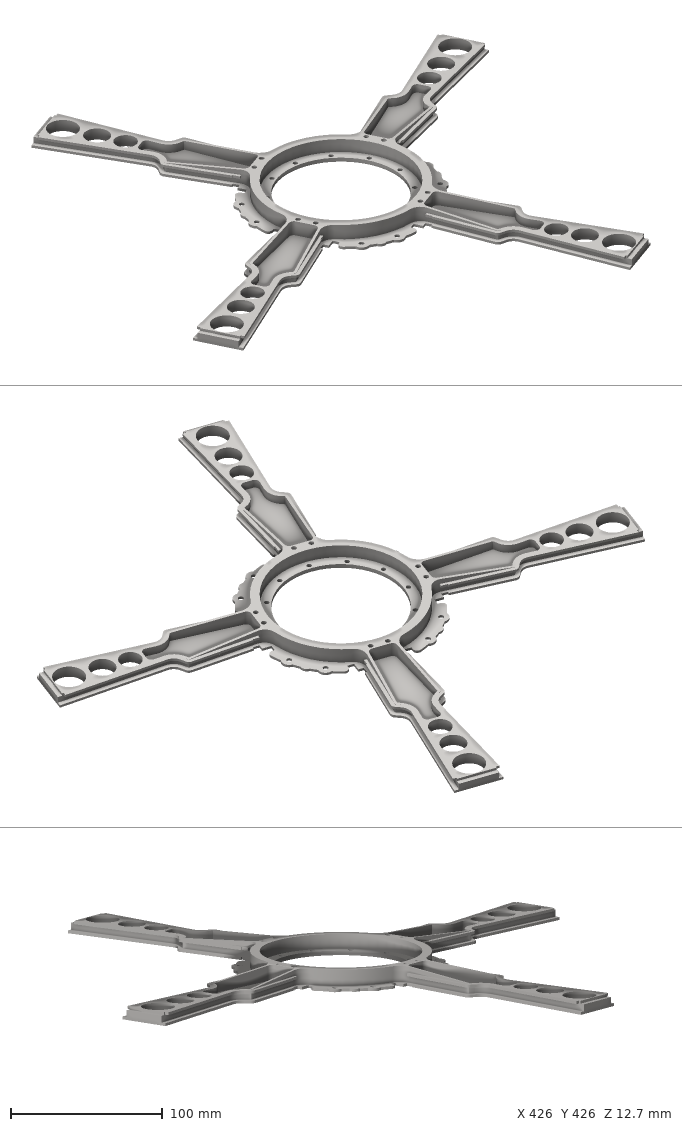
import cadquery as cq
import math

total_height = 12.7
arm_height = 8.4
plate_thickness = 1.9
ledge_thickness = 3.0
pocket_floor = 2.0

bore_radius = 46.0
ring_inner_radius = 53.6
ring_outer_radius = 60.0
ring_fillet = 9.6
rim_radius = 69.9
ledge_hole_count = 12
ledge_hole_circle = 49.1
ledge_hole_diameter = 3.6
ring_hole_offset = 6.3
ring_hole_reach = 59.1
screw_hole_diameter = 3.8

ear_radius = 5.5
middle_ear_radius = 4.6
ear_circle = 66.7
ear_angle = 11.0
notch_inner = 18.5
notch_outer = 23.4
notch_floor = 59.3
notch_corner = 3.3
tab_reach = 66.1
bridge_half_width = 14.5

arm_reach = 213.0
arm_start = 71.0
tip_half_width = 17.9
neck_half_width = 10.65
neck_reach = 126.5
shoulder_half_width = 20.2
shoulder_reach = 120.3
root_half_width = 15.9
neck_fillet = 8.0
shoulder_fillet = 4.0
web_inset = 3.25
pocket_inset = 5.2
pocket_start = 62.2
pocket_end = 143.0
pocket_corner = 3.5
tip_step = 3.2
flange_step = 4.4
flange_inset = 0.6
rib_start = 61.5
rib_end = 121.0
arm_holes = [(153.3, 8.1), (173.6, 9.2), (197.9, 11.2)]

arm_angles = [0, 90, 180, 270]
outline_start = 30.0
oversize = 2 * arm_reach


def line_at(reach, inner, outer):
    """Half width at a reach on the straight line through two (reach, half width) points."""
    slope = (outer[1] - inner[1]) / (outer[0] - inner[0])
    return inner[1] + slope * (reach - inner[0])


def polar_point(radius, angle):
    """Point at a radius and an angle in degrees."""
    turn = math.radians(angle)
    return radius * math.cos(turn), radius * math.sin(turn)


def cylinders(points, radius, height):
    """Upright cylinders standing on the base at the given points."""
    return cq.Workplane("XY").pushPoints(points).circle(radius).extrude(height)


def on_each_arm(solid):
    """The solid, modelled on the +X arm, repeated on all four arms."""
    copies = cq.Workplane("XY")
    for angle in arm_angles:
        copies = copies.union(solid.rotate((0, 0, 0), (0, 0, 1), angle))
    return copies


def slab(start, end, half_width, bottom, top):
    """A box centred on the +X arm."""
    return (
        cq.Workplane("XY", origin=((start + end) / 2, 0, bottom))
        .box(end - start, 2 * half_width, top - bottom, centered=(True, True, False))
    )


def arm_body(inset, height):
    """The +X arm outline drawn in by an inset, from inside the hub to past the tip."""
    end = arm_reach + 2 * web_inset + pocket_inset
    neck = (neck_reach, neck_half_width)
    shoulder = (shoulder_reach, shoulder_half_width)
    start_half_width = line_at(outline_start, (arm_start, root_half_width), shoulder)
    end_half_width = line_at(end, neck, (arm_reach, tip_half_width))
    side = [(outline_start, start_half_width), shoulder, neck, (end, end_half_width)]
    mirrored = [(x, -y) for x, y in reversed(side)]
    body = cq.Workplane("XY").polyline(side + mirrored).close().extrude(height)
    for corner, radius in ((neck, neck_fillet), (shoulder, shoulder_fillet)):
        for y in (corner[1], -corner[1]):
            edge = cq.selectors.NearestToPointSelector((corner[0], y, height / 2))
            body = body.edges("|Z").edges(edge).fillet(radius)
    if inset:
        body = body.faces("<Z").wires().toPending().offset2D(-inset).extrude(height, combine=False)
    return body


def make_rim():
    """Base plate of the hub: a disc with ears, notched beside each arm."""
    rim = cq.Workplane("XY").circle(rim_radius).extrude(plate_thickness)
    for diagonal in (45, 135, 225, 315):
        middle = [polar_point(ear_circle, diagonal)]
        rim = rim.union(cylinders(middle, middle_ear_radius, plate_thickness))
    screw_points = [
        polar_point(ear_circle, diagonal + offset)
        for diagonal in (45, 135, 225, 315)
        for offset in (-ear_angle, ear_angle)
    ]
    rim = rim.union(cylinders(screw_points, ear_radius, plate_thickness))
    opening = slab(notch_floor, oversize, notch_outer, 0, plate_thickness)
    rim = rim.cut(on_each_arm(opening))
    notch_turn = math.degrees(math.asin(notch_outer / rim_radius))
    for angle in arm_angles:
        for turn in (-notch_turn, notch_turn):
            x, y = polar_point(rim_radius, angle + turn)
            corner = cq.selectors.NearestToPointSelector((x, y, plate_thickness / 2))
            rim = rim.edges("|Z").edges(corner).fillet(notch_corner)
    tab = slab(ring_inner_radius, tab_reach, notch_inner, 0, plate_thickness)
    bridge = slab(ring_inner_radius, arm_start, bridge_half_width, 0, plate_thickness)
    rim = rim.union(on_each_arm(tab.union(bridge)))
    return rim.cut(cylinders(screw_points, screw_hole_diameter / 2, plate_thickness))


def make_core():
    """Ring wall and arm webs, joined by fillets, with ribs that slope down to the arm top."""
    web = arm_body(web_inset, total_height).intersect(slab(0, arm_reach, arm_reach, 0, total_height))
    core = cq.Workplane("XY").circle(ring_outer_radius).extrude(total_height).union(on_each_arm(web))
    junction = cq.selectors.BoxSelector(
        (-ring_outer_radius, -ring_outer_radius, 0),
        (ring_outer_radius, ring_outer_radius, total_height),
    )
    core = core.edges("|Z").edges(junction).fillet(ring_fillet)
    above_arm = (
        cq.Workplane("XZ")
        .polyline([
            (rib_start, total_height),
            (rib_end, arm_height),
            (oversize, arm_height),
            (oversize, total_height),
        ])
        .close()
        .extrude(shoulder_half_width, both=True)
    )
    return core.cut(on_each_arm(above_arm))


def make_flanges():
    """Base plate and top flange of the +X arm, overhanging the web on both sides."""
    outline = arm_body(0, arm_height)
    base = outline.intersect(slab(arm_start, arm_reach, arm_reach, 0, plate_thickness))
    flange_bottom = arm_height - plate_thickness
    top = arm_body(flange_inset, arm_height).intersect(
        slab(arm_start, arm_reach - flange_step, arm_reach, flange_bottom, arm_height)
    )
    bridge = slab(tab_reach, arm_start, bridge_half_width, flange_bottom, arm_height)
    return base.union(top).union(bridge)


def make_arm_cuts():
    """Pocket, lightening holes and ring screw holes of the +X arm, and the step at its tip."""
    pocket = arm_body(pocket_inset, total_height).intersect(
        slab(pocket_start, pocket_end, arm_reach, pocket_floor, total_height)
    )
    pocket = pocket.edges("|Z and (<X or >X)").fillet(pocket_corner)
    cuts = pocket
    for reach, radius in arm_holes:
        cuts = cuts.union(cylinders([(reach, 0)], radius, total_height))
    ring_points = [(ring_hole_reach, ring_hole_offset), (ring_hole_reach, -ring_hole_offset)]
    ring_holes = cylinders(ring_points, screw_hole_diameter / 2, total_height)
    step = slab(arm_reach - tip_step, oversize, arm_reach, arm_height - plate_thickness, total_height)
    return cuts.union(ring_holes).union(step)


def make_ring_cuts():
    """Bore, the wider recess above the ledge, and the ledge holes."""
    bore = cylinders([(0, 0)], bore_radius, total_height)
    recess = cylinders([(0, 0)], ring_inner_radius, total_height).translate((0, 0, ledge_thickness))
    spacing = 360 / ledge_hole_count
    ledge_points = [polar_point(ledge_hole_circle, i * spacing) for i in range(ledge_hole_count)]
    ledge_holes = cylinders(ledge_points, ledge_hole_diameter / 2, ledge_thickness)
    return bore.union(recess).union(ledge_holes)


result = (
    make_core()
    .union(make_rim())
    .union(on_each_arm(make_flanges()))
    .cut(on_each_arm(make_arm_cuts()))
    .cut(make_ring_cuts())
)